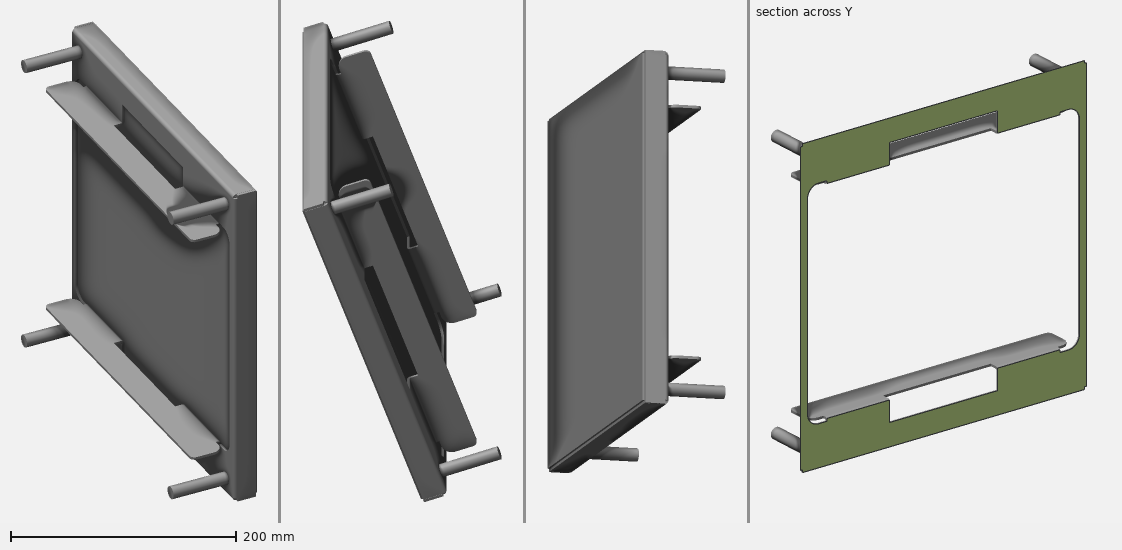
import cadquery as cq
import math


case_size = 320.0
case_depth = 22.0
sheet_thickness = 2.5
bend_inner_radius = 1.0
bend_outer_radius = bend_inner_radius + sheet_thickness
corner_seam = 0.2

post_diameter = 12.0
post_length = 55.0
post_spacing = 287.0

flap_width = 290.0
flap_reach = 34.5
flap_span = 230.0
flap_root_radius = 10.0
flap_tip_radius = 5.0
flap_root_offset = 3.0
bend_length = 260.0

window_width = 302.0
window_height = flap_span + 2 * bend_inner_radius
window_corner_radius = 12.0

opening_width = 120.0
opening_span = 270.0
opening_in_flap = 8.0

core_proud = 2.0
core_size = case_size - 2 * sheet_thickness
core_depth = case_depth - sheet_thickness + core_proud


def front_box(width, height, y_start, depth):
    """Box centred on X and Z that runs from y_start towards +Y."""
    box = cq.Workplane("XY").box(width, depth, height, centered=(True, False, True))
    return box.translate((0, y_start, 0))


def make_tray():
    """Front sheet with four folded walls, and its front edges rounded by the folds."""
    tray = front_box(case_size, case_size, 0, case_depth)
    tray = tray.faces("<Y").edges().fillet(bend_outer_radius)
    return tray.cut(front_box(core_size, core_size, sheet_thickness, case_depth))


def make_corner_relief(x_side, z_side):
    """Tool that parts the walls at one corner: a thin seam and a notch where the folds meet."""
    half = case_size / 2
    notch_width = sheet_thickness + corner_seam
    seam_x = x_side * (half - sheet_thickness - corner_seam / 2)
    relief_z = z_side * (half - bend_outer_radius / 2)
    seam = front_box(corner_seam, bend_outer_radius, 0, case_depth).translate((seam_x, 0, relief_z))
    notch = front_box(notch_width, bend_outer_radius, 0, bend_outer_radius)
    return seam.union(notch.translate((x_side * (half - notch_width / 2), 0, relief_z)))


def make_window():
    """Tool for the rounded window through the front sheet."""
    window = front_box(window_width, window_height, 0, sheet_thickness)
    return window.edges("|Y").fillet(window_corner_radius)


def make_posts():
    """Four round posts near the corners of the front sheet."""
    return (
        cq.Workplane("XZ")
        .rect(post_spacing, post_spacing, forConstruction=True)
        .vertices()
        .circle(post_diameter / 2)
        .extrude(post_length)
    )


def make_top_flap():
    """Flat flap with rounded corners, and the shorter quarter bend that joins it to the front sheet."""
    inner_face_z = flap_span / 2 - sheet_thickness
    flat = (
        cq.Workplane("XY")
        .box(flap_width, flap_reach - flap_root_offset, sheet_thickness, centered=(True, False, False))
        .edges("|Z and >Y")
        .fillet(flap_root_radius)
        .edges("|Z and <Y")
        .fillet(flap_tip_radius)
        .translate((0, -flap_reach, inner_face_z))
    )
    neck_reach = flap_root_offset - bend_inner_radius
    neck = (
        cq.Workplane("XY")
        .box(bend_length, neck_reach, sheet_thickness, centered=(True, False, False))
        .translate((0, -flap_root_offset, inner_face_z))
    )
    axis_y = -bend_inner_radius
    axis_z = window_height / 2
    diagonal = math.sqrt(0.5)
    bend = (
        cq.Workplane("YZ")
        .moveTo(axis_y, axis_z - bend_inner_radius)
        .threePointArc(
            (axis_y + bend_inner_radius * diagonal, axis_z - bend_inner_radius * diagonal),
            (axis_y + bend_inner_radius, axis_z),
        )
        .lineTo(axis_y + bend_outer_radius, axis_z)
        .threePointArc(
            (axis_y + bend_outer_radius * diagonal, axis_z - bend_outer_radius * diagonal),
            (axis_y, axis_z - bend_outer_radius),
        )
        .close()
        .extrude(bend_length / 2, both=True)
    )
    return flat.union(neck).union(bend)


def make_case():
    case = make_tray()
    for x_side in (-1, 1):
        for z_side in (-1, 1):
            case = case.cut(make_corner_relief(x_side, z_side))
    top_flap = make_top_flap()
    case = case.cut(make_window()).union(top_flap).union(top_flap.mirror("XY"))
    opening_depth = opening_in_flap + sheet_thickness
    case = case.cut(front_box(opening_width, opening_span, -opening_in_flap, opening_depth))
    return case.union(make_posts())


case = make_case()
core = front_box(core_size, core_size, sheet_thickness, core_depth)

result = cq.Compound.makeCompound([case.val(), core.val()])